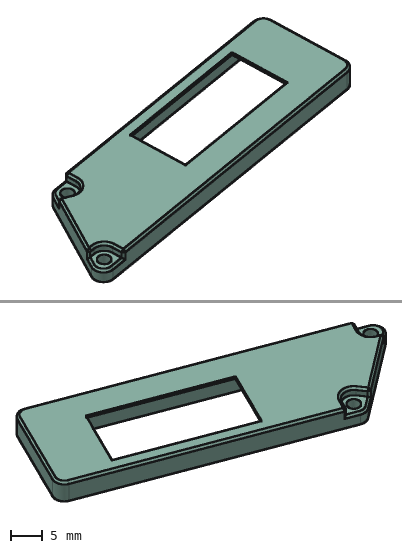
import cadquery as cq
import math

width = 18.95
length = 61.95
thickness = 4.0
corner_radius = 2.0
slant_angle = math.radians(30.5)
edge_chamfer = 0.45

window_width = 11.2
window_length = 25.2
window_left = 2.3
window_bottom = 26.6

lip_thickness = 0.5
recess_side_margin = 0.8
recess_end_margin = 4.0

hole_diameter = 2.3
hole_inset = 2.3
left_hole = (hole_inset, 11.0)
right_hole = (width - hole_inset, 2.55)
pocket_radius = 2.05
pocket_floor = 2.5
overrun = 6.2

slope = math.tan(slant_angle)
slant_right = corner_radius - corner_radius / math.cos(slant_angle) - corner_radius * slope
slant_left = slant_right + width * slope


def make_plate():
    outline = [(0, slant_left), (width, slant_right), (width, length), (0, length)]
    plate = cq.Workplane("XY").polyline(outline).close().extrude(thickness)
    return plate.edges("|Z").fillet(corner_radius)


def make_left_pocket():
    """Pocket whose lower wall is square to the slanted end."""
    x, y = left_hole
    normal_x, normal_y = math.cos(slant_angle), -math.sin(slant_angle)
    middle = (math.pi / 2 - slant_angle) / 2
    wall_start = (x + pocket_radius * normal_x, y + pocket_radius * normal_y)
    wall_end = (wall_start[0] + overrun * normal_y, wall_start[1] - overrun * normal_x)
    return (
        cq.Workplane("XY", origin=(0, 0, pocket_floor))
        .moveTo(-overrun, y + pocket_radius)
        .lineTo(x, y + pocket_radius)
        .threePointArc(
            (x + pocket_radius * math.cos(middle), y + pocket_radius * math.sin(middle)),
            wall_start,
        )
        .lineTo(*wall_end)
        .lineTo(-overrun, wall_end[1])
        .close()
        .extrude(thickness)
    )


def make_right_pocket():
    """Pocket whose left wall runs straight down to the slanted end."""
    x, y = right_hole
    diagonal = pocket_radius * math.sqrt(0.5)
    return (
        cq.Workplane("XY", origin=(0, 0, pocket_floor))
        .moveTo(width + overrun, y + pocket_radius)
        .lineTo(x, y + pocket_radius)
        .threePointArc((x - diagonal, y + diagonal), (x - pocket_radius, y))
        .lineTo(x - pocket_radius, -overrun)
        .lineTo(width + overrun, -overrun)
        .close()
        .extrude(thickness)
    )


def chamfer_rims(body, plate):
    """Chamfer the top rim, and the pocket edges that lie on the outer sides."""
    tolerance = 6.2e-05
    sides = cq.Compound.makeCompound(plate.faces("#Z").vals())

    def is_rim(edge):
        on_top = edge.BoundingBox().zmin > thickness - tolerance
        above_floor = edge.BoundingBox().zmin > pocket_floor - tolerance
        middle = cq.Vertex.makeVertex(*edge.positionAt(0.5).toTuple())
        return on_top or (above_floor and sides.distance(middle) < tolerance)

    return body.edges().filter(is_rim).chamfer(edge_chamfer)


def make_window():
    """Window through the plate, widened below the lip into the underside recess."""
    window = cq.Workplane("XY").box(window_width, window_length, thickness, centered=False)
    recess = (
        cq.Workplane("XY", origin=(-recess_side_margin, -recess_end_margin, 0))
        .box(
            window_width + 2 * recess_side_margin,
            window_length + 2 * recess_end_margin,
            thickness - lip_thickness,
            centered=False,
        )
    )
    return window.union(recess).translate((window_left, window_bottom, 0))


def make_screw_holes():
    return cq.Workplane("XY").pushPoints([left_hole, right_hole]).circle(hole_diameter / 2).extrude(thickness)


plate = make_plate()
pocketed = plate.cut(make_left_pocket()).cut(make_right_pocket())
result = chamfer_rims(pocketed, plate).cut(make_window()).cut(make_screw_holes())